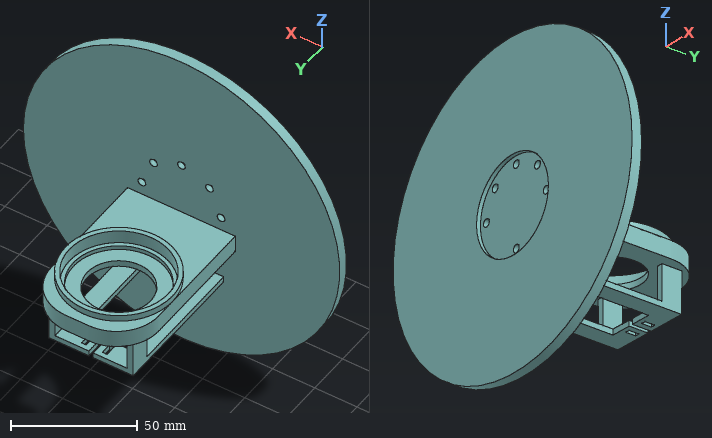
import cadquery as cq

plate_diameter = 150.0
plate_thickness = 5.0
recess_diameter = 45.0
recess_depth = 2.0
screw_circle_radius = 18.8
screw_hole_diameter = 3.6
screw_angles = (0, 45, 90, 135, 180, 270)

arm_width = 51.0
arm_end = 80.0
arm_corner_radius = 20.0
arm_top = -6.5
arm_bottom = -14.7

ring_center = 50.0
ring_height = 3.0
ring_top = arm_top + ring_height
seat_diameter = 46.8
seat_depth = 6.3
inner_step_diameter = 43.0
inner_step_depth = 8.2
opening_diameter = 30.0

frame_width = 40.0
leg_thickness = 3.0
leg_front = 60.0
leg_back = 70.0
leg_bottom = -34.0
floor_thickness = 2.7
floor_gap = 22.2
floor_gap_end = 60.3
slit_width = 2.0
window_offset = 5.0
window_width = 2.1
window_front = 62.7
window_back = 67.6


def block(x_size, y_start, y_end, z_start, z_end, x_center=0.0):
    """Box centred across X and spanning the given Y and Z limits."""
    size = (x_size, y_end - y_start, z_end - z_start)
    center = (x_center, (y_start + y_end) / 2, (z_start + z_end) / 2)
    return cq.Workplane("XY").box(*size).translate(center)


def ring_cylinder(diameter, z_start, z_end):
    """Vertical cylinder on the ring axis."""
    base = cq.Workplane("XY", origin=(0, ring_center, z_start))
    return base.circle(diameter / 2).extrude(z_end - z_start)


def make_plate():
    front = cq.Workplane("XZ")
    plate = front.circle(plate_diameter / 2).extrude(-plate_thickness)
    plate = plate.cut(front.circle(recess_diameter / 2).extrude(-recess_depth))
    for angle in screw_angles:
        hole = (
            front.center(screw_circle_radius, 0)
            .circle(screw_hole_diameter / 2)
            .extrude(-plate_thickness)
            .rotate((0, 0, 0), (0, 1, 0), -angle)
        )
        plate = plate.cut(hole)
    return plate


def make_arm():
    arm = block(arm_width, plate_thickness, arm_end, arm_bottom, arm_top)
    arm = arm.edges("|Z and >Y").fillet(arm_corner_radius)
    arm = arm.union(ring_cylinder(arm_width, arm_bottom, ring_top))
    arm = arm.cut(ring_cylinder(seat_diameter, ring_top - seat_depth, ring_top))
    arm = arm.cut(ring_cylinder(inner_step_diameter, ring_top - inner_step_depth, ring_top))
    return arm.cut(ring_cylinder(opening_diameter, arm_bottom, ring_top))


def make_hanger():
    floor_top = leg_bottom + floor_thickness
    hanger = block(frame_width, leg_front, leg_back, leg_bottom, arm_bottom)
    passage_width = frame_width - 2 * leg_thickness
    hanger = hanger.cut(block(passage_width, leg_front, leg_back, floor_top, arm_bottom))
    hanger = hanger.union(block(frame_width, plate_thickness, leg_front, leg_bottom, floor_top))
    hanger = hanger.cut(block(floor_gap, plate_thickness, floor_gap_end, leg_bottom, floor_top))
    hanger = hanger.cut(block(slit_width, leg_front, leg_back, leg_bottom, floor_top))
    for side in (-1, 1):
        window = block(
            window_width, window_front, window_back, leg_bottom, floor_top, side * window_offset
        )
        hanger = hanger.cut(window)
    return hanger


result = make_plate().union(make_arm()).union(make_hanger())